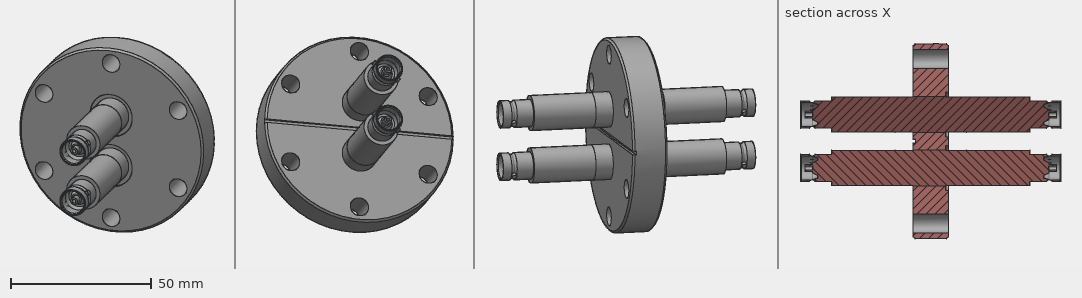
import cadquery as cq
import math

flange_diameter = 69.9
flange_thickness = 12.7
rim_chamfer = 0.7
bolt_circle_diameter = 58.8
bolt_hole_diameter = 6.7
bolt_count = 6
first_bolt_angle = 90.0
recess_diameter = 16.0
recess_depth = 0.9

slot_width = 1.3
slot_depth_center = 0.7
slot_depth_rim = 1.2

feedthrough_length = 92.9
feedthrough_spacing = 19.0
core_diameter = 12.7
core_length = 25.5
sleeve_diameter = 12.6
sleeve_end = 35.4
barrel_diameter = 9.85

groove_width = 1.95
groove_depth = 0.6
groove_setback = 4.1
bayonet_diameter = 1.8
bayonet_span = 11.15
bayonet_angle = 33.0

mouth_radius = 4.55
mouth_chamfer = 0.4
floor_radius = 3.6
socket_depth = 6.0
cone_base_radius = 2.8
cone_top_radius = 1.9
cone_height = 1.9
contact_radius = 1.3
contact_setback = 1.5
contact_hole_radius = 0.65
contact_hole_depth = 2.8

bore_radius = mouth_radius - mouth_chamfer
half_thickness = flange_thickness / 2
half_length = feedthrough_length / 2
feedthrough_heights = [-feedthrough_spacing / 2, feedthrough_spacing / 2]


def cylinder_along_y(diameter, y_start, y_end, z=0.0):
    """Cylinder parallel to Y between two Y positions."""
    base = cq.Workplane("XZ", origin=(0, y_start, z)).circle(diameter / 2)
    return base.extrude(y_start - y_end)


def make_slot_cutter():
    """Slot along X whose floor rises gently from the rim to the middle."""
    half_width = flange_diameter / 2
    return (
        cq.Workplane("XY")
        .moveTo(-half_width, half_thickness)
        .lineTo(-half_width, half_thickness - slot_depth_rim)
        .lineTo(0, half_thickness - slot_depth_center)
        .lineTo(half_width, half_thickness - slot_depth_rim)
        .lineTo(half_width, half_thickness)
        .close()
        .extrude(slot_width / 2, both=True)
    )


def make_flange():
    """Chamfered disc with bolt holes, two recessed bores and the leak-check slot."""
    flange = cylinder_along_y(flange_diameter, -half_thickness, half_thickness)
    flange = flange.edges().chamfer(rim_chamfer)
    bolt_radius = bolt_circle_diameter / 2
    for index in range(bolt_count):
        angle = math.radians(first_bolt_angle + index * 360 / bolt_count)
        hole = cylinder_along_y(bolt_hole_diameter, -half_thickness, half_thickness)
        flange = flange.cut(hole.translate((bolt_radius * math.cos(angle), 0, bolt_radius * math.sin(angle))))
    for z in feedthrough_heights:
        flange = flange.cut(cylinder_along_y(core_diameter, -half_thickness, half_thickness, z))
        flange = flange.cut(
            cylinder_along_y(recess_diameter, -half_thickness, recess_depth - half_thickness, z)
        )
    return flange.cut(make_slot_cutter())


def make_half_feedthrough():
    """The +Y half of a feedthrough, revolved about the Y axis."""
    barrel_radius = barrel_diameter / 2
    groove_y = half_length - groove_setback
    socket_floor = half_length - socket_depth
    contact_tip = half_length - contact_setback
    half = (
        cq.Workplane("XY")
        .moveTo(0, 0)
        .lineTo(core_diameter / 2, 0)
        .lineTo(core_diameter / 2, core_length / 2)
        .lineTo(sleeve_diameter / 2, core_length / 2)
        .lineTo(sleeve_diameter / 2, sleeve_end)
        .lineTo(barrel_radius, sleeve_end)
        .lineTo(barrel_radius, groove_y - groove_width / 2)
        .threePointArc((barrel_radius - groove_depth, groove_y), (barrel_radius, groove_y + groove_width / 2))
        .lineTo(barrel_radius, half_length)
        .lineTo(mouth_radius, half_length)
        .lineTo(bore_radius, half_length - mouth_chamfer)
        .lineTo(bore_radius, socket_floor + cone_height)
        .lineTo(floor_radius, socket_floor)
        .lineTo(cone_base_radius, socket_floor)
        .lineTo(cone_top_radius, socket_floor + cone_height)
        .lineTo(contact_radius, socket_floor + cone_height)
        .lineTo(contact_radius, contact_tip)
        .lineTo(contact_hole_radius, contact_tip)
        .lineTo(contact_hole_radius, contact_tip - contact_hole_depth)
        .lineTo(0, contact_tip - contact_hole_depth)
        .close()
        .revolve(360, (0, 0, 0), (0, 1, 0))
    )
    return half.union(make_bayonet_pins(groove_y))


def make_bayonet_pins(y):
    """Two opposed pins rooted in the barrel wall, clear of the socket."""
    rod = cq.Workplane("YZ").circle(bayonet_diameter / 2).extrude(bayonet_span / 2, both=True)
    rod = rod.rotate((0, 0, 0), (0, 1, 0), -bayonet_angle).translate((0, y, 0))
    return rod.cut(cylinder_along_y(2 * bore_radius, y - bayonet_diameter, y + bayonet_diameter))


def make_feedthrough(z):
    """Complete feedthrough: two mirrored halves joined at the middle of the flange."""
    half = make_half_feedthrough()
    return half.union(half.mirror("XZ")).translate((0, 0, z))


flange = make_flange()
feedthroughs = [make_feedthrough(z) for z in feedthrough_heights]
result = cq.Compound.makeCompound([flange.val(), *[feedthrough.val() for feedthrough in feedthroughs]])